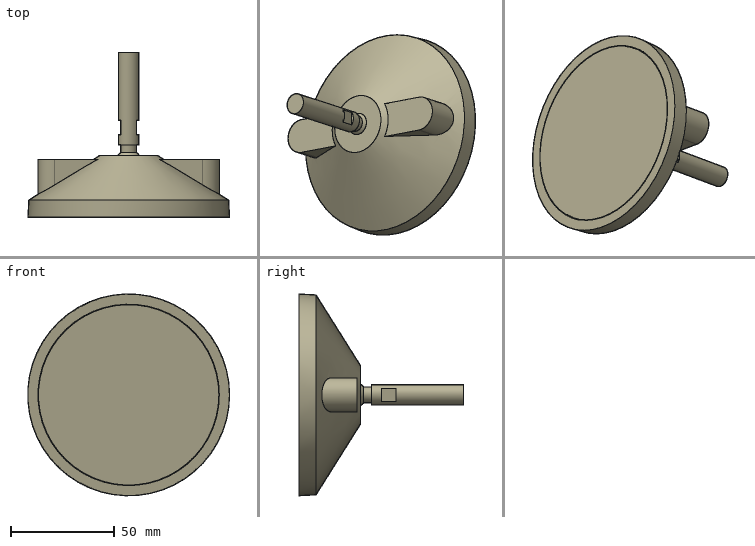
import cadquery as cq

base_diameter = 98.0
rim_top_diameter = 97.1
cone_top_diameter = 28.2
rim_height = 8.3
foot_height = 30.0

groove_outer_diameter = 88.0
groove_inner_diameter = 87.5
groove_depth = 2.0

lug_width = 16.5
lug_length = 88.2
lug_top = 28.1

ball_diameter = 12.5
ball_center_height = 26.6
neck_diameter = 7.8
stem_diameter = 10.0
stem_start = 35.2
stem_top = 80.0
flat_start = 40.1
flat_length = 7.0
width_across_flats = 7.8


def cylinder_along_y(diameter, start, end):
    """Cylinder on the Y axis between two heights."""
    disc = cq.Workplane("XZ", origin=(0, start, 0)).circle(diameter / 2)
    return disc.extrude(start - end)


def make_foot():
    half_profile = (
        cq.Workplane("XY")
        .lineTo(base_diameter / 2, 0)
        .lineTo(rim_top_diameter / 2, rim_height)
        .lineTo(cone_top_diameter / 2, foot_height)
        .lineTo(0, foot_height)
        .close()
    )
    return half_profile.revolve(360, (0, 0, 0), (0, 1, 0))


def make_groove():
    outer = cylinder_along_y(groove_outer_diameter, 0, groove_depth)
    inner = cylinder_along_y(groove_inner_diameter, 0, groove_depth)
    return outer.cut(inner)


def make_lugs():
    bar = cq.Workplane("XZ", origin=(0, rim_height, 0)).slot2D(lug_length, lug_width)
    return bar.extrude(rim_height - lug_top)


def make_stem():
    ball = cq.Workplane("XY").sphere(ball_diameter / 2).translate((0, ball_center_height, 0))
    neck = cylinder_along_y(neck_diameter, ball_center_height, stem_start)
    rod = cylinder_along_y(stem_diameter, stem_start, stem_top)
    flat_middle = flat_start + flat_length / 2
    flat_cutter = cq.Workplane("XY").box(stem_diameter, flat_length, stem_diameter)
    for side in (-1, 1):
        cutter_x = side * (width_across_flats + stem_diameter) / 2
        rod = rod.cut(flat_cutter.translate((cutter_x, flat_middle, 0)))
    return ball.union(neck).union(rod)


result = make_foot().union(make_lugs()).union(make_stem()).cut(make_groove())